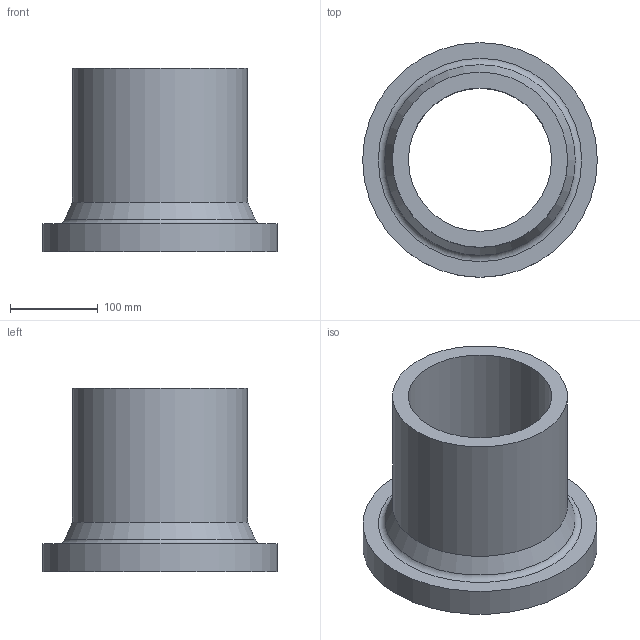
import cadquery as cq
import math

total_height = 210.0
flange_diameter = 268.0
flange_thickness = 32.0
pipe_outer_diameter = 200.0
pipe_wall = 18.2
cone_top_height = 57.0
cone_angle = 23.5
hub_fillet_radius = 8.0

flange_radius = flange_diameter / 2
pipe_radius = pipe_outer_diameter / 2
bore_radius = pipe_radius - pipe_wall
cone_height = cone_top_height - flange_thickness
cone_base_radius = pipe_radius + cone_height * math.tan(math.radians(cone_angle))


def revolved_body():
    """Flange, conical hub and pipe revolved around Z as one hollow solid."""
    profile = (
        cq.Workplane("XZ")
        .moveTo(bore_radius, 0)
        .lineTo(flange_radius, 0)
        .lineTo(flange_radius, flange_thickness)
        .lineTo(cone_base_radius, flange_thickness)
        .lineTo(pipe_radius, cone_top_height)
        .lineTo(pipe_radius, total_height)
        .lineTo(bore_radius, total_height)
        .close()
    )
    return profile.revolve(360, (0, 0, 0), (0, 1, 0))


def fillet_hub_base(body):
    """Round the inside corner where the conical hub meets the flange face."""
    corner_tolerance = 0.5
    reach = cone_base_radius + corner_tolerance
    corner_edge = cq.selectors.BoxSelector(
        (-reach, -reach, flange_thickness - corner_tolerance),
        (reach, reach, flange_thickness + corner_tolerance),
        boundingbox=True,
    )
    return body.edges(corner_edge).fillet(hub_fillet_radius)


result = fillet_hub_base(revolved_body())